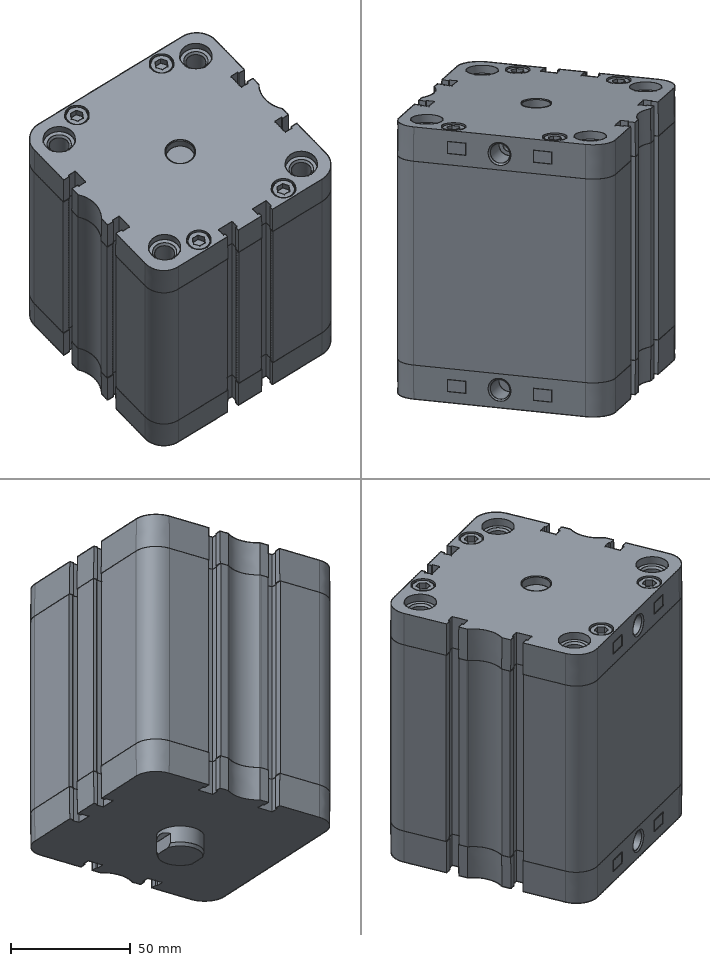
import cadquery as cq
import math

TOTAL_LENGTH = 128.0
WIDTH = 95.5
CORNER_RADIUS = 10.0
ROD_PROJECTION = 9.0
CAP_HEIGHT = 15.0
CAP_DRAFT = 0.1
BODY_LENGTH = TOTAL_LENGTH - ROD_PROJECTION
BARREL_LENGTH = BODY_LENGTH - 2 * CAP_HEIGHT
HALF_WIDTH = WIDTH / 2

GROOVE_HALF_WIDTH = 8.0
GROOVE_DEPTH = 2.7
GROOVE_EDGE_FILLET = 0.9

SLOT_INNER_WIDTH = 7.2
CAP_SLOT_MOUTH = 5.6
BARREL_SLOT_MOUTH = 6.1
Y_SLOT_OFFSET = 15.0
Y_SLOT_DEPTH = 6.8
Y_SLOT_LIP = 3.2
X_SLOT_OFFSET = 9.0
X_SLOT_DEPTH = 5.4
X_SLOT_LIP = 1.9

PORT_DIAMETER = 8.6
PORT_CHAMFER = 0.8
PORT_DEPTH = 12.0
PORT_INSET = 8.0
PORT_NOZZLE_DIAMETER = 5.0
PORT_NOZZLE_LENGTH = 6.4

LABEL_WIDTH = 8.0
LABEL_HEIGHT = 5.2
LABEL_DEPTH = 0.3
LABEL_OFFSET = 19.0

MOUNT_OFFSET = 36.0
MOUNT_BORE_DIAMETER = 13.5
MOUNT_BORE_DEPTH = 3.5
MOUNT_HOLE_DIAMETER = 8.3
MOUNT_CHAMFER = 0.9
SCREW_X = 41.6
SCREW_Y = 22.3
SCREW_BORE_DIAMETER = 10.2
SCREW_HEAD_DIAMETER = 9.2
SCREW_HEAD_SINK = 0.5
SCREW_GAP_DEPTH = 1.3
HEX_ACROSS_FLATS = 5.0
HEX_DEPTH = 3.0
CENTRE_DIAMETER = 12.0
CENTRE_CHAMFER = 0.4
CENTRE_DEPTH = 4.0

ROD_DIAMETER = 20.0
ROD_FLATS = 17.0
ROD_FLAT_TOP = 3.1
ROD_SHOULDER_RISE = 1.4
ROD_CHAMFER_RADIAL = 0.6
ROD_CHAMFER_LENGTH = 1.5


def outline():
    """Rounded square with a shallow arc groove in the middle of the -Y and +Y sides."""
    straight = HALF_WIDTH - CORNER_RADIUS
    arc_middle = HALF_WIDTH - CORNER_RADIUS * (1 - math.sqrt(0.5))
    groove_floor = HALF_WIDTH - GROOVE_DEPTH
    return (
        cq.Workplane("XY")
        .moveTo(-straight, -HALF_WIDTH)
        .lineTo(-GROOVE_HALF_WIDTH, -HALF_WIDTH)
        .threePointArc((0, -groove_floor), (GROOVE_HALF_WIDTH, -HALF_WIDTH))
        .lineTo(straight, -HALF_WIDTH)
        .threePointArc((arc_middle, -arc_middle), (HALF_WIDTH, -straight))
        .lineTo(HALF_WIDTH, straight)
        .threePointArc((arc_middle, arc_middle), (straight, HALF_WIDTH))
        .lineTo(GROOVE_HALF_WIDTH, HALF_WIDTH)
        .threePointArc((0, groove_floor), (-GROOVE_HALF_WIDTH, HALF_WIDTH))
        .lineTo(-straight, HALF_WIDTH)
        .threePointArc((-arc_middle, arc_middle), (-HALF_WIDTH, straight))
        .lineTo(-HALF_WIDTH, -straight)
        .threePointArc((-arc_middle, -arc_middle), (-straight, -HALF_WIDTH))
        .close()
    )


def t_slot(height, mouth, offset, depth, lip):
    """T-slot cutter in the +X side, centred on Y = offset."""
    inner = cq.Workplane("XY").box(depth - lip, SLOT_INNER_WIDTH, height, centered=(False, True, False))
    neck = cq.Workplane("XY").box(depth, mouth, height, centered=(False, True, False))
    return inner.union(neck).translate((HALF_WIDTH - depth, offset, 0))


def cut_slots(body, height, mouth):
    """Cut the full-height T-slots in the +X, +Y and -Y sides."""
    for side in (-1, 1):
        body = body.cut(t_slot(height, mouth, side * X_SLOT_OFFSET, X_SLOT_DEPTH, X_SLOT_LIP))
        y_slot = t_slot(height, mouth, side * Y_SLOT_OFFSET, Y_SLOT_DEPTH, Y_SLOT_LIP)
        for angle in (90, -90):
            body = body.cut(y_slot.rotate((0, 0, 0), (0, 0, 1), angle))
    return body


def make_barrel():
    """Straight profile between the caps, with rounded groove edges."""
    barrel = outline().extrude(BARREL_LENGTH)
    reach = HALF_WIDTH / 2
    groove_edges = cq.selectors.BoxSelector((-reach, -WIDTH, 0), (reach, WIDTH, BARREL_LENGTH))
    barrel = barrel.edges("|Z").edges(groove_edges).fillet(GROOVE_EDGE_FILLET)
    return cut_slots(barrel, BARREL_LENGTH, BARREL_SLOT_MOUTH).translate((0, 0, CAP_HEIGHT))


def chamfered_hole(diameter, depth, chamfer):
    """Cutter below Z = 0 with a 45 degree countersink at its mouth."""
    hole = cq.Workplane("XY").circle(diameter / 2).extrude(-depth)
    countersink = cq.Workplane("XY").circle(diameter / 2 + chamfer).extrude(-chamfer, taper=45)
    return hole.union(countersink)


def make_cap():
    """Drafted cap common to both ends: joint face at Z = 0, outer face at Z = CAP_HEIGHT."""
    draft_angle = math.degrees(math.atan(CAP_DRAFT / CAP_HEIGHT))
    cap = outline().extrude(CAP_HEIGHT, taper=draft_angle)
    cap = cut_slots(cap, CAP_HEIGHT, CAP_SLOT_MOUTH)

    port_z = CAP_HEIGHT - PORT_INSET
    port = chamfered_hole(PORT_DIAMETER, PORT_DEPTH, PORT_CHAMFER)
    cap = cap.cut(port.rotate((0, 0, 0), (0, 1, 0), -90).translate((-HALF_WIDTH, 0, port_z)))

    label_x = -HALF_WIDTH + CAP_DRAFT / 2
    for side in (-1, 1):
        label = cq.Workplane("XY").box(2 * LABEL_DEPTH, LABEL_WIDTH, LABEL_HEIGHT)
        cap = cap.cut(label.translate((label_x, side * LABEL_OFFSET, CAP_HEIGHT / 2)))
    return cap


def make_upper_cap():
    """Blind-end cap with mounting holes, screw heads, centring hole and a port nozzle."""
    cap = make_cap()
    nozzle = (
        cq.Workplane("YZ", origin=(-HALF_WIDTH, 0, CAP_HEIGHT - PORT_INSET))
        .circle(PORT_NOZZLE_DIAMETER / 2)
        .extrude(PORT_DEPTH + PORT_NOZZLE_LENGTH)
    )
    cap = cap.cut(nozzle)

    mount_bore = cq.Workplane("XY").circle(MOUNT_BORE_DIAMETER / 2).extrude(-MOUNT_BORE_DEPTH)
    mount_thread = chamfered_hole(MOUNT_HOLE_DIAMETER, CAP_HEIGHT - MOUNT_BORE_DEPTH, MOUNT_CHAMFER)
    mount = mount_bore.union(mount_thread.translate((0, 0, -MOUNT_BORE_DEPTH)))

    screw_bore = cq.Workplane("XY").circle(SCREW_BORE_DIAMETER / 2).extrude(-SCREW_GAP_DEPTH)
    screw_head = (
        cq.Workplane("XY", origin=(0, 0, -SCREW_HEAD_SINK))
        .circle(SCREW_HEAD_DIAMETER / 2)
        .extrude(SCREW_HEAD_SINK - SCREW_GAP_DEPTH)
    )
    hex_socket = (
        cq.Workplane("XY")
        .polygon(6, HEX_ACROSS_FLATS / math.cos(math.pi / 6))
        .extrude(-SCREW_HEAD_SINK - HEX_DEPTH)
        .rotate((0, 0, 0), (0, 0, 1), 30)
    )
    screw = screw_bore.cut(screw_head).union(hex_socket)

    for x_side in (-1, 1):
        for y_side in (-1, 1):
            cap = cap.cut(mount.translate((x_side * MOUNT_OFFSET, y_side * MOUNT_OFFSET, CAP_HEIGHT)))
            cap = cap.cut(screw.translate((x_side * SCREW_X, y_side * SCREW_Y, CAP_HEIGHT)))

    centre = chamfered_hole(CENTRE_DIAMETER, CENTRE_DEPTH, CENTRE_CHAMFER)
    cap = cap.cut(centre.translate((0, 0, CAP_HEIGHT)))
    return cap.translate((0, 0, BODY_LENGTH - CAP_HEIGHT))


def make_lower_cap():
    """Rod-side cap: the common cap turned over, with a through hole for the rod."""
    cap = make_cap().mirror("XY").translate((0, 0, CAP_HEIGHT))
    rod_hole = cq.Workplane("XY").circle(ROD_DIAMETER / 2).extrude(CAP_HEIGHT)
    return cap.cut(rod_hole)


def make_rod():
    """Rod through the lower cap, with two wrench flats and a chamfered end."""
    radius = ROD_DIAMETER / 2
    rod = (
        cq.Workplane("XY", origin=(0, 0, -ROD_PROJECTION))
        .circle(radius)
        .extrude(ROD_PROJECTION + CAP_HEIGHT)
        .faces("<Z")
        .chamfer(ROD_CHAMFER_LENGTH, ROD_CHAMFER_RADIAL)
    )
    flat_x = ROD_FLATS / 2
    flat_cut = (
        cq.Workplane("XZ")
        .polyline([
            (flat_x, -ROD_PROJECTION),
            (radius, -ROD_PROJECTION),
            (radius, ROD_SHOULDER_RISE - ROD_FLAT_TOP),
            (flat_x, -ROD_FLAT_TOP),
        ])
        .close()
        .extrude(radius, both=True)
    )
    return rod.cut(flat_cut).cut(flat_cut.mirror("YZ"))


barrel = make_barrel()
upper_cap = make_upper_cap()
lower_cap = make_lower_cap()
rod = make_rod()

result = cq.Compound.makeCompound([barrel.val(), upper_cap.val(), lower_cap.val(), rod.val()])